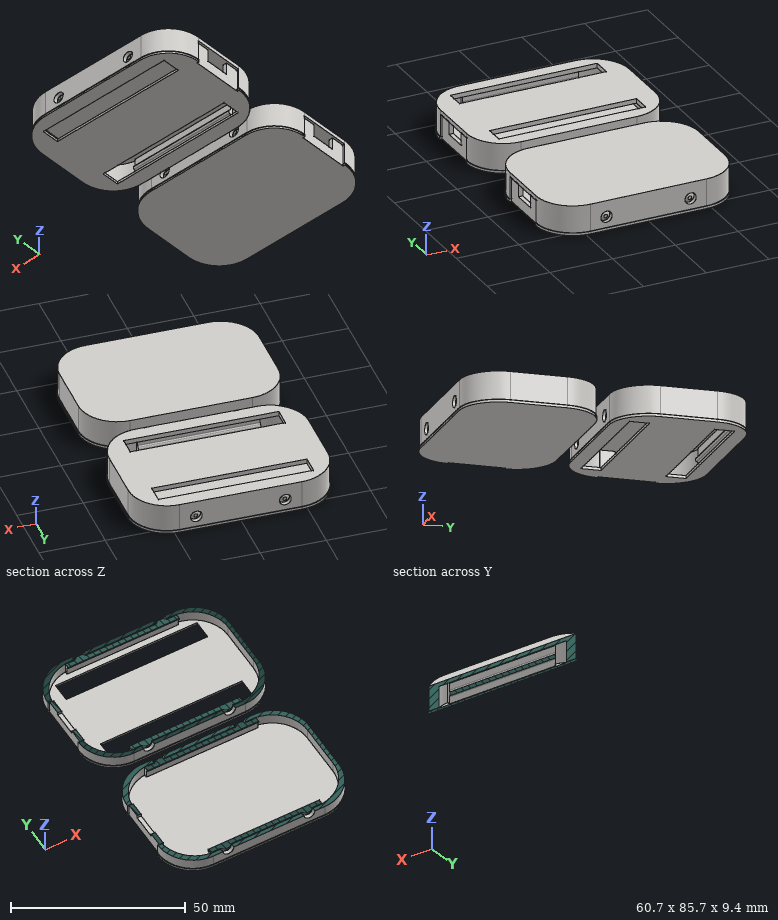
import cadquery as cq
base_length = 60.7
total_width = 85.7
total_height = 9.4
case_gap = 4.2
base_width = (total_width - case_gap) / 2
case_pitch = base_width + case_gap

rim = 0.21
cover_length = base_length - 2 * rim
cover_width = base_width - 2 * rim
corner_radius = 11.65
top_thickness = 1.45
wall = 1.4
inner_top = total_height - top_thickness
end_width = cover_width - 2 * corner_radius
side_length = cover_length - 2 * corner_radius

plate_thickness = 0.85
panel_thickness = wall
panel_recess = 0.5
panel_clearance = 0.25
panel_top = inner_top - panel_clearance
panel_outer_x = panel_recess - cover_length / 2
window_width = 7.9
window_bottom = 3.5

lip_top = panel_top
lip_thickness = 0.9
lip_clearance = 0.1
lip_outer_y = cover_width / 2 - wall - lip_clearance
lip_inner_y = lip_outer_y - lip_thickness

snap_diameter = 3.5
snap_pitch = 26.8
snap_height = 4.3
dome_tip_diameter = 1.1
dome_rise = 0.9

bead_radius = 0.7
bead_fillet = 0.5

slot_length = 46.8
slot_width = 6.0
slot_pitch = 25.45


def block(x_range, y_range, z_range):
    """Box given by its limits along each axis."""
    lengths = [high - low for low, high in (x_range, y_range, z_range)]
    return (
        cq.Workplane("XY")
        .box(*lengths, centered=False)
        .translate((x_range[0], y_range[0], z_range[0]))
    )


def rounded_block(length, width, radius, bottom, top):
    """Centred block with rounded vertical edges."""
    return (
        cq.Workplane("XY", origin=(0, 0, bottom))
        .rect(length, width)
        .extrude(top - bottom)
        .edges("|Z")
        .fillet(radius)
    )


def snap_cylinders(start_y, depth):
    """Cylinders along +Y at both snap places, starting at start_y."""
    return (
        cq.Workplane("XZ", origin=(0, start_y, snap_height))
        .pushPoints([(-snap_pitch / 2, 0), (snap_pitch / 2, 0)])
        .circle(snap_diameter / 2)
        .extrude(-depth)
    )


def strap_slots():
    return (
        cq.Workplane("XY")
        .pushPoints([(0, -slot_pitch / 2), (0, slot_pitch / 2)])
        .rect(slot_length, slot_width)
        .extrude(total_height)
    )


def make_cover():
    cover = rounded_block(cover_length, cover_width, corner_radius, plate_thickness, total_height)
    cavity = rounded_block(
        cover_length - 2 * wall, cover_width - 2 * wall, corner_radius, plate_thickness, inner_top
    )
    end_opening = block(
        (-cover_length / 2, 0), (-end_width / 2, end_width / 2), (plate_thickness, inner_top)
    )
    return cover.cut(cavity).cut(end_opening).cut(snap_cylinders(-cover_width / 2, cover_width))


def make_plate():
    """Base plate, notched at the -X end so that it is flush with the end panel."""
    plate = rounded_block(base_length, base_width, corner_radius + rim, 0, plate_thickness)
    notch = block(
        (-base_length / 2, panel_outer_x), (-end_width / 2, end_width / 2), (0, plate_thickness)
    )
    return plate.cut(notch)


def make_end_panel():
    """End panel with a window that is open at the top."""
    x_range = (panel_outer_x, panel_outer_x + panel_thickness)
    panel = block(x_range, (-end_width / 2, end_width / 2), (0, panel_top))
    window = block(x_range, (-window_width / 2, window_width / 2), (window_bottom, panel_top))
    return panel.cut(window)


def make_lip_with_bead():
    """Lip on the +Y side; a half-round bead, blended by fillets, runs along its inner face."""
    contact_bottom = snap_height - bead_radius
    contact_top = snap_height + bead_radius
    profile = (
        cq.Workplane("YZ", origin=(-side_length / 2, 0, 0))
        .moveTo(lip_outer_y, plate_thickness)
        .lineTo(lip_outer_y, lip_top)
        .lineTo(lip_inner_y, lip_top)
        .lineTo(lip_inner_y, contact_top)
        .threePointArc((lip_inner_y - bead_radius, snap_height), (lip_inner_y, contact_bottom))
        .lineTo(lip_inner_y, plate_thickness)
        .close()
    )
    lip = profile.extrude(side_length)
    for contact_z in (contact_bottom, contact_top):
        contact_edge = cq.selectors.NearestToPointSelector((0, lip_inner_y, contact_z))
        lip = lip.edges(contact_edge).fillet(bead_fillet)
    return lip


def make_snap_domes():
    """Domes on the outer face of the +Y lip: spherical caps cut flat at the tip."""
    base_radius = snap_diameter / 2
    tip_radius = dome_tip_diameter / 2
    centre_depth = (base_radius**2 - tip_radius**2 - dome_rise**2) / (2 * dome_rise)
    sphere_radius = (base_radius**2 + centre_depth**2) ** 0.5
    spheres = (
        cq.Workplane("XY", origin=(0, lip_outer_y - centre_depth, snap_height))
        .pushPoints([(-snap_pitch / 2, 0), (snap_pitch / 2, 0)])
        .sphere(sphere_radius)
    )
    return snap_cylinders(lip_outer_y, dome_rise).intersect(spheres)


def make_base():
    lip = make_lip_with_bead().union(make_snap_domes())
    base = make_plate().union(make_end_panel())
    return base.union(lip).union(lip.mirror("XZ"))


front_place = (0, -case_pitch / 2, 0)
rear_place = (0, case_pitch / 2, 0)

plain_cover = make_cover()
plain_base = make_base()
front_cover = plain_cover.translate(front_place)
front_base = plain_base.translate(front_place)
rear_cover = plain_cover.cut(strap_slots()).translate(rear_place)
rear_base = plain_base.cut(strap_slots()).translate(rear_place)

result = cq.Compound.makeCompound(
    [front_cover.val(), front_base.val(), rear_cover.val(), rear_base.val()]
)